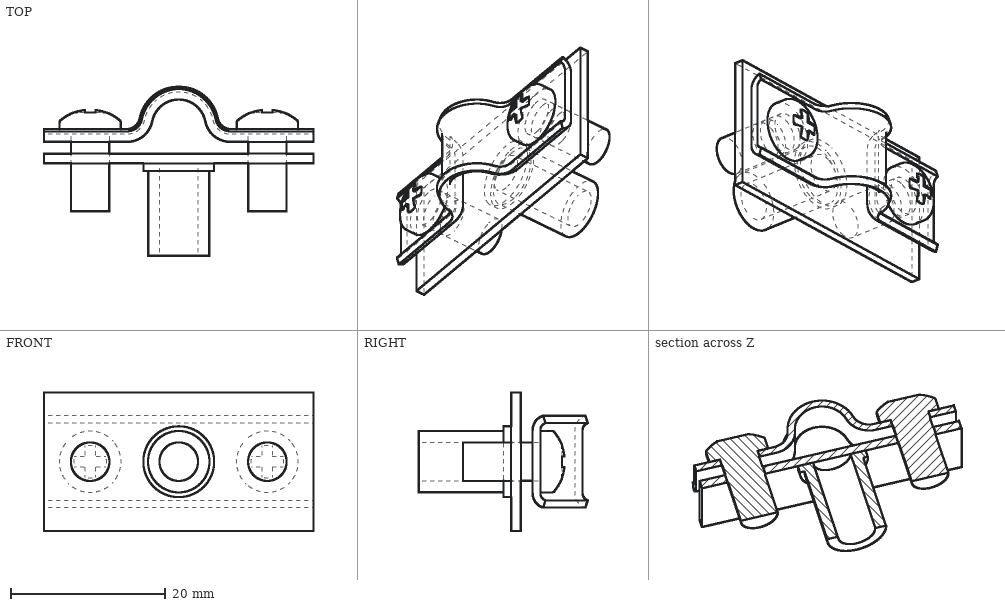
import cadquery as cq
import math

plate_length = 35.0
plate_height = 18.0
plate_thickness = 1.25

tube_length = 12.0
tube_diameter = 7.98
bore_diameter = 5.0
flange_diameter = 9.2
flange_thickness = 1.0

clip_gap = 1.5
clip_thickness = 1.0
channel_flat_width = 8.15
curl_outer_radius = 2.0
curl_angle = math.radians(72)
arch_inner_radius = 3.5
arch_center_height = 2.0
foot_radius = 3.32

screw_spacing = 23.0
shank_diameter = 5.0
shank_length = 10.0
head_diameter = 7.98
head_edge_height = 1.5
head_edge_radius = 0.42
head_height = 3.22
cross_slot_width = 1.33
cross_slot_floor = 2.85

clip_front_y = plate_thickness + clip_gap
head_seat_y = clip_front_y + clip_thickness
screw_positions = (-screw_spacing / 2, screw_spacing / 2)


def cylinder_along_y(diameter, length, start_y, x=0):
    """Cylinder whose axis is parallel to Y, reaching from start_y toward +Y."""
    start = cq.Vector(x, start_y, 0)
    return cq.Workplane(cq.Solid.makeCylinder(diameter / 2, length, start, cq.Vector(0, 1, 0)))


def drill_screw_holes(body):
    """Cut a hole for each screw shank through the body."""
    tip_y = head_seat_y - shank_length
    for x in screw_positions:
        body = body.cut(cylinder_along_y(shank_diameter, shank_length, tip_y, x))
    return body


def make_plate():
    plate = cq.Workplane("XY").box(
        plate_length, plate_thickness, plate_height, centered=(True, False, True)
    )
    return drill_screw_holes(plate)


def make_tube():
    barrel = cylinder_along_y(tube_diameter, tube_length, -tube_length)
    flange = cylinder_along_y(flange_diameter, flange_thickness, -flange_thickness)
    bore = cylinder_along_y(bore_diameter, tube_length, -tube_length)
    return barrel.union(flange).cut(bore)


def clip_path():
    """Front edge of the clip at mid height: arm, foot, arch, foot, arm."""
    foot_x = math.sqrt(
        (arch_inner_radius + foot_radius) ** 2 - (foot_radius - arch_center_height) ** 2
    )
    foot_turn = math.acos((foot_radius - arch_center_height) / (arch_inner_radius + foot_radius))

    def foot_point(turn):
        """Point on the foot at +X, after turning from the arm by the given angle."""
        x = foot_x - foot_radius * math.sin(turn)
        y = clip_front_y + foot_radius * (1 - math.cos(turn))
        return x, y

    mid_x, mid_y = foot_point(foot_turn / 2)
    joint_x, joint_y = foot_point(foot_turn)
    arch_top = (0, clip_front_y + arch_center_height + arch_inner_radius)
    return (
        cq.Workplane("XY")
        .moveTo(-plate_length / 2, clip_front_y)
        .lineTo(-foot_x, clip_front_y)
        .threePointArc((-mid_x, mid_y), (-joint_x, joint_y))
        .threePointArc(arch_top, (joint_x, joint_y))
        .threePointArc((mid_x, mid_y), (foot_x, clip_front_y))
        .lineTo(plate_length / 2, clip_front_y)
    )


def make_clip():
    half_flat = channel_flat_width / 2
    curl_inner_radius = curl_outer_radius - clip_thickness

    def curl_point(radius, angle):
        """Point on the curled edge, with the angle measured from the flat web."""
        y = clip_front_y + curl_outer_radius - radius * math.cos(angle)
        z = half_flat + radius * math.sin(angle)
        return y, z

    def mirrored(point):
        """The same point on the curled edge at the other side."""
        return point[0], -point[1]

    outer_mid = curl_point(curl_outer_radius, curl_angle / 2)
    outer_end = curl_point(curl_outer_radius, curl_angle)
    inner_mid = curl_point(curl_inner_radius, curl_angle / 2)
    inner_end = curl_point(curl_inner_radius, curl_angle)
    section = (
        cq.Workplane("YZ", origin=(-plate_length / 2, 0, 0))
        .moveTo(clip_front_y, -half_flat)
        .lineTo(clip_front_y, half_flat)
        .threePointArc(outer_mid, outer_end)
        .lineTo(*inner_end)
        .threePointArc(inner_mid, (head_seat_y, half_flat))
        .lineTo(head_seat_y, -half_flat)
        .threePointArc(mirrored(inner_mid), mirrored(inner_end))
        .lineTo(*mirrored(outer_end))
        .threePointArc(mirrored(outer_mid), (clip_front_y, -half_flat))
        .close()
    )
    return drill_screw_holes(section.sweep(clip_path()))


def make_screw(x):
    """Domed screw with its axis along Y and its head seated on the clip."""
    head_radius = head_diameter / 2
    edge_center_x = head_radius - head_edge_radius
    dome_rise = head_height - head_edge_height
    sphere_radius = (edge_center_x ** 2 + dome_rise ** 2 - head_edge_radius ** 2) / (
        2 * (dome_rise - head_edge_radius)
    )
    dome_half_angle = math.asin(edge_center_x / (sphere_radius - head_edge_radius))
    edge_mid_angle = (dome_half_angle + math.pi / 2) / 2

    def edge_point(angle):
        """Point on the rounded edge, with the angle measured from the screw axis."""
        along_x = edge_center_x + head_edge_radius * math.sin(angle)
        along_y = head_edge_height + head_edge_radius * math.cos(angle)
        return along_x, along_y

    def dome_point(angle):
        """Point on the dome, with the angle measured from the screw axis."""
        along_x = sphere_radius * math.sin(angle)
        along_y = head_height - sphere_radius * (1 - math.cos(angle))
        return along_x, along_y

    screw = (
        cq.Workplane("XY")
        .moveTo(0, -shank_length)
        .lineTo(shank_diameter / 2, -shank_length)
        .lineTo(shank_diameter / 2, 0)
        .lineTo(head_radius, 0)
        .lineTo(head_radius, head_edge_height)
        .threePointArc(edge_point(edge_mid_angle), edge_point(dome_half_angle))
        .threePointArc(dome_point(dome_half_angle / 2), (0, head_height))
        .close()
        .revolve(360, (0, 0, 0), (0, 1, 0))
    )
    for slot_x, slot_z in ((head_diameter, cross_slot_width), (cross_slot_width, head_diameter)):
        slot = cq.Workplane("XY").box(slot_x, head_height, slot_z, centered=(True, False, True))
        screw = screw.cut(slot.translate((0, cross_slot_floor, 0)))
    return screw.translate((x, head_seat_y, 0))


plate = make_plate().solids()
tube = make_tube().solids()
clip = make_clip().solids()
screws = [make_screw(x).solids().val() for x in screw_positions]

result = cq.Compound.makeCompound([plate.val(), tube.val(), clip.val(), *screws])